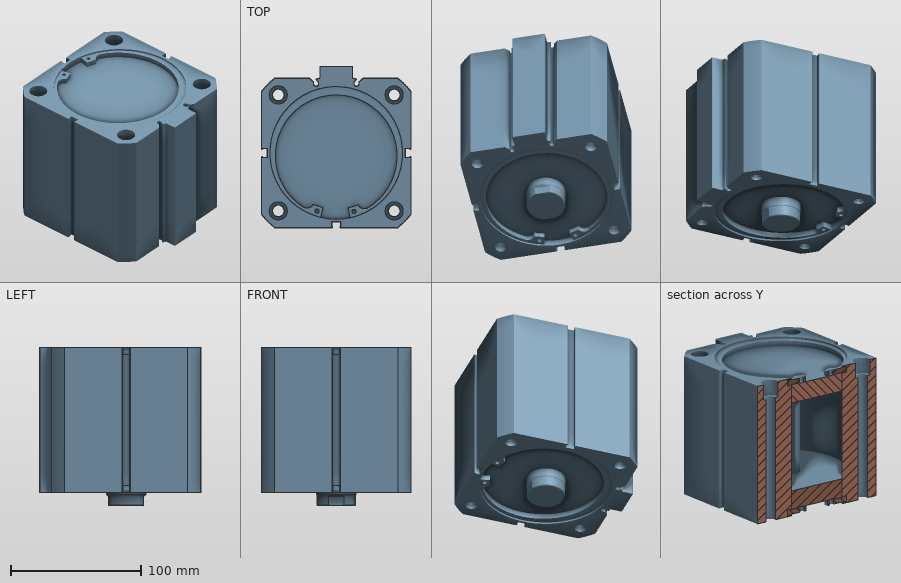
import cadquery as cq
import math

BODY_SIDE = 115.0
BODY_LENGTH = 111.6
HALF_SIDE = BODY_SIDE / 2
CORNER_RADIUS = 74.4
BORE_RADIUS = 51.0

OVERALL_DEPTH = 124.0
RAIL_TOP = OVERALL_DEPTH - HALF_SIDE
RAIL_HALF_WIDTH = 12.6
RAIL_EDGE_FILLET = 0.5

GROOVE_CENTER_X = 15.5
GROOVE_CENTER_Y = 53.1
GROOVE_RADIUS = 1.9
GROOVE_WALL_TOP = 54.4
GROOVE_FLARE_X = 20.6
GROOVE_NECK = (14.8, 55.3)
GROOVE_LIP_TIP = 15.4
GROOVE_LIP_BOTTOM = 56.4
GROOVE_LIP_TOP = 56.8

SLOT_DEPTH = 4.5
SLOT_WIDTH = 6.7
SLOT_MOUTH_WIDTH = 5.5
SLOT_ENTRY_WIDTH = 6.5
SLOT_LIP = 1.0
SLOT_ENTRY_DEPTH = (SLOT_ENTRY_WIDTH - SLOT_MOUTH_WIDTH) / 2

BOLT_SPACING = 89.0
BOLT_RADIUS = 4.5
COUNTERBORE_RADIUS = 7.0
COUNTERBORE_DEPTH = 12.4

RING_OUTER_RADIUS = 53.1
RING_THICKNESS = 4.2
RING_INSET = 1.4
RING_BOTTOMS = (RING_INSET, BODY_LENGTH - RING_INSET - RING_THICKNESS)
RING_INNER_RADIUS = 46.7
RING_INNER_OFFSET = 2.2
TOP_RING_TURN = -0.7
LUG_ROOT_X = 24.5
LUG_VALLEY = (20.6, -42.4)
LUG_SHOULDER = (17.2, -39.8)
LUG_TIP = (9.7, -42.2)
LUG_END_X = 11.4
LUG_HOLE_X = 14.1
LUG_HOLE_Y = -44.9
LUG_HOLE_RADIUS = 1.6

COVER_THICKNESS = 14.9
COVER_SEAT = RING_INSET + RING_THICKNESS
HEAD_COVER_BOTTOM = BODY_LENGTH - COVER_SEAT - COVER_THICKNESS
BOSS_RADIUS = 15.1
BOSS_PROTRUSION = 1.7
BOSS_TAPER_HEIGHT = 0.5
BOSS_TAPER_WIDTH = 0.2

ROD_RADIUS = 14.8
ROD_PROTRUSION = 9.9
ROD_END_CHAMFER = 0.5
FLAT_HALF_WIDTH = 13.5
FLAT_TOP = -2.7


def point_on_circle(radius, x, center_y=0.0):
    """Lower point of a circle centred on X = 0, at the given X."""
    return (x, center_y - math.sqrt(radius**2 - x**2))


def sensor_slot(angle):
    """Cutter for a slot in the -Y face, turned about Z by the angle."""
    entry = SLOT_ENTRY_WIDTH / 2
    mouth = SLOT_MOUTH_WIDTH / 2
    inner = SLOT_WIDTH / 2
    entry_end = -HALF_SIDE + SLOT_ENTRY_DEPTH
    lip_end = -HALF_SIDE + SLOT_LIP
    floor = -HALF_SIDE + SLOT_DEPTH
    half = [
        (entry, -HALF_SIDE),
        (mouth, entry_end),
        (mouth, lip_end),
        (inner, lip_end),
        (inner, floor),
    ]
    mirrored = [(-x, y) for x, y in reversed(half)]
    slot = cq.Workplane("XY").polyline(half + mirrored).close().extrude(BODY_LENGTH)
    return slot.rotate((0, 0, 0), (0, 0, 1), angle)


def rail_groove(side):
    """Cutter for the keyhole groove on one side of the rail; side is -1 or 1."""
    neck_x, neck_y = GROOVE_NECK
    return (
        cq.Workplane("XY")
        .moveTo(side * GROOVE_FLARE_X, HALF_SIDE)
        .lineTo(side * (GROOVE_CENTER_X + GROOVE_RADIUS), GROOVE_WALL_TOP)
        .lineTo(side * (GROOVE_CENTER_X + GROOVE_RADIUS), GROOVE_CENTER_Y)
        .threePointArc(
            (side * GROOVE_CENTER_X, GROOVE_CENTER_Y - GROOVE_RADIUS),
            (side * (GROOVE_CENTER_X - GROOVE_RADIUS), GROOVE_CENTER_Y),
        )
        .lineTo(side * (GROOVE_CENTER_X - GROOVE_RADIUS), GROOVE_WALL_TOP)
        .lineTo(side * neck_x, neck_y)
        .lineTo(side * GROOVE_LIP_TIP, GROOVE_LIP_BOTTOM)
        .lineTo(side * GROOVE_LIP_TIP, GROOVE_LIP_TOP)
        .lineTo(side * RAIL_HALF_WIDTH, HALF_SIDE)
        .close()
        .extrude(BODY_LENGTH)
    )


def make_housing():
    """Square block with a rail, a through bore, ring grooves, sensor slots and bolt holes."""
    block = cq.Workplane("XY").rect(BODY_SIDE, BODY_SIDE).extrude(BODY_LENGTH)
    block = block.intersect(cq.Workplane("XY").circle(CORNER_RADIUS).extrude(BODY_LENGTH))

    rail = (
        cq.Workplane("XY")
        .rect(2 * RAIL_HALF_WIDTH, RAIL_TOP)
        .extrude(BODY_LENGTH)
        .translate((0, RAIL_TOP / 2, 0))
        .edges("|Z and >Y")
        .fillet(RAIL_EDGE_FILLET)
    )
    body = block.union(rail)
    for side in (-1, 1):
        body = body.cut(rail_groove(side))
    for angle in (-90, 0, 90):
        body = body.cut(sensor_slot(angle))

    body = body.cut(cq.Workplane("XY").circle(BORE_RADIUS).extrude(BODY_LENGTH))
    ring_seat = cq.Workplane("XY").circle(RING_OUTER_RADIUS).extrude(RING_THICKNESS)
    for seat_bottom in RING_BOTTOMS:
        body = body.cut(ring_seat.translate((0, 0, seat_bottom)))

    return (
        body.faces(">Z")
        .workplane(origin=(0, 0, BODY_LENGTH))
        .rect(BOLT_SPACING, BOLT_SPACING, forConstruction=True)
        .vertices()
        .cboreHole(2 * BOLT_RADIUS, 2 * COUNTERBORE_RADIUS, COUNTERBORE_DEPTH)
    )


def mirror_x(point):
    """The point reflected across the plane X = 0."""
    return (-point[0], point[1])


def make_retaining_ring(turn, bottom):
    """Ring with two drilled lugs and a gap at -Y that leaves only its rim inside the groove."""
    gap_corner = point_on_circle(BORE_RADIUS, LUG_END_X)
    lug_root = point_on_circle(RING_INNER_RADIUS, LUG_ROOT_X, -RING_INNER_OFFSET)
    opening = (
        cq.Workplane("XY")
        .moveTo(*gap_corner)
        .threePointArc((0, -BORE_RADIUS), mirror_x(gap_corner))
        .lineTo(*mirror_x(LUG_TIP))
        .lineTo(*mirror_x(LUG_SHOULDER))
        .threePointArc(mirror_x(LUG_VALLEY), mirror_x(lug_root))
        .threePointArc((0, RING_INNER_RADIUS - RING_INNER_OFFSET), lug_root)
        .threePointArc(LUG_VALLEY, LUG_SHOULDER)
        .lineTo(*LUG_TIP)
        .close()
        .extrude(RING_THICKNESS)
    )
    lug_holes = (
        cq.Workplane("XY")
        .pushPoints([(-LUG_HOLE_X, LUG_HOLE_Y), (LUG_HOLE_X, LUG_HOLE_Y)])
        .circle(LUG_HOLE_RADIUS)
        .extrude(RING_THICKNESS)
    )
    ring = cq.Workplane("XY").circle(RING_OUTER_RADIUS).extrude(RING_THICKNESS)
    ring = ring.cut(opening).cut(lug_holes)
    return ring.rotate((0, 0, 0), (0, 0, 1), turn).translate((0, 0, bottom))


def make_head_cover():
    """Plain disc that closes the bore under the top ring."""
    return cq.Workplane("XY").workplane(offset=HEAD_COVER_BOTTOM).circle(BORE_RADIUS).extrude(COVER_THICKNESS)


def make_rod_cover():
    """Disc above the bottom ring, with a tapered boss around the rod that stands out below the housing."""
    disc = cq.Workplane("XY").workplane(offset=COVER_SEAT).circle(BORE_RADIUS).extrude(COVER_THICKNESS)
    boss = (
        cq.Workplane("XY")
        .workplane(offset=-BOSS_PROTRUSION)
        .circle(BOSS_RADIUS)
        .extrude(BOSS_PROTRUSION + COVER_SEAT)
        .faces("<Z")
        .chamfer(BOSS_TAPER_HEIGHT, BOSS_TAPER_WIDTH)
    )
    return disc.union(boss).faces(">Z").workplane().hole(2 * ROD_RADIUS)


def make_rod():
    """Round rod from below the housing up to the head cover, with two flats near its lower end."""
    rod = (
        cq.Workplane("XY")
        .workplane(offset=-ROD_PROTRUSION)
        .circle(ROD_RADIUS)
        .extrude(ROD_PROTRUSION + HEAD_COVER_BOTTOM)
        .faces("<Z")
        .chamfer(ROD_END_CHAMFER)
    )
    flat_step = ROD_RADIUS - FLAT_HALF_WIDTH
    for side in (-1, 1):
        flat = (
            cq.Workplane("YZ")
            .moveTo(side * FLAT_HALF_WIDTH, -ROD_PROTRUSION)
            .lineTo(side * FLAT_HALF_WIDTH, FLAT_TOP)
            .lineTo(side * ROD_RADIUS, FLAT_TOP + flat_step)
            .lineTo(side * ROD_RADIUS, -ROD_PROTRUSION)
            .close()
            .extrude(ROD_RADIUS, both=True)
        )
        rod = rod.cut(flat)
    return rod


housing = make_housing()
rings = [
    make_retaining_ring(turn, bottom)
    for turn, bottom in zip((0, TOP_RING_TURN), RING_BOTTOMS)
]
head_cover = make_head_cover()
rod_cover = make_rod_cover()
rod = make_rod()

result = cq.Compound.makeCompound(
    [
        housing.val(),
        *[ring.val() for ring in rings],
        head_cover.val(),
        rod_cover.val(),
        rod.val(),
    ]
)